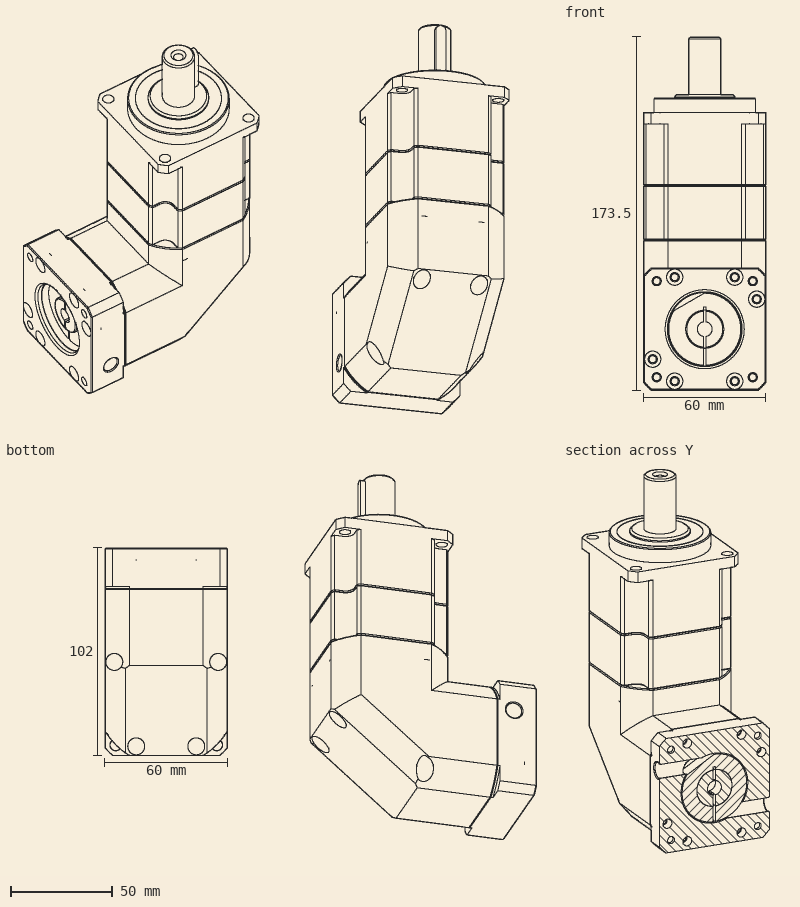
import cadquery as cq
import math


frame = 60.0
half = frame / 2
body_radius = 35.0
plate_radius = 39.9
joint_chamfer = 0.5

elbow_top = 43.7
stage_top = 70.6
flange_bottom = 100.8
flange_top = 106.4
boss_top = 113.6
shoulder_top = 115.2
shaft_tip = 143.5

elbow_end = -52.0
adapter_pad_end = -53.1
adapter_front = -72.0

boss_radius = 25.0
boss_chamfer = 0.5
cover_radius = 21.2
cover_recess = 0.2
flange_hole_offset = 24.8
flange_hole_diameter = 5.5

channel_inset = 20.0
channel_fillet = 4.5

slant_top = 7.0
slant_toe = -14.2
slant_axis_depth = 28.8
access_hole_diameter = 8.3
access_hole_top = 34.7
access_hole_places = [(-14.7, 25.5), (14.7, 25.5), (-25.5, -16.0), (25.5, -16.0)]

shaft_radius = 8.0
shaft_chamfer = 0.9
shoulder_radius = 15.0
shoulder_chamfer = 1.0
centre_hole_diameter = 4.7
centre_hole_depth = 13.9
centre_sink_diameter = 7.3
key_width = 5.0
key_height = 5.0
key_length = 25.2
key_bottom = 117.1
key_outer = 10.0

adapter_edge_chamfer = 0.5
pilot_radius = 18.4
pilot_depth = 3.1
pilot_chamfer = 1.0
pocket_radius = 18.0
pocket_depth = 16.3
tapped_hole_offset = 23.6
tapped_radius = 2.3
tap_drill_radius = 1.7
tapped_depth = 8.7
tap_drill_depth = 11.3
screw_circle_radius = 29.5
screw_angles = [30, 60, 120, 210, 240, 300]
screw_head_radius = 4.0
screw_head_depth = 6.0
side_hole_diameter = 8.0
side_hole_chamfer = 0.5
side_hole_y = -60.4
side_hole_z = 13.2

collar_radius = 17.7
collar_face = -65.0
collar_flat_distance = 15.5
collar_flat_angle = 120
collar_notch_reach = 11.0
slit_width = 1.0
sleeve_radius = 9.4
sleeve_chamfer = 0.5
sleeve_face = -67.3
sleeve_end = -53.8
sleeve_bore_diameter = 7.3

drill_tip_angle = 118


def plate(bottom, top, corner_radius):
    """Square plate along Z with its corners trimmed by a circle."""
    square = cq.Workplane("XY").workplane(offset=bottom).rect(frame, frame).extrude(top - bottom)
    disc = cq.Workplane("XY").workplane(offset=bottom).circle(corner_radius).extrude(top - bottom)
    return square.intersect(disc)


def cylinder_z(radius, bottom, top):
    return cq.Workplane("XY").workplane(offset=bottom).circle(radius).extrude(top - bottom)


def cylinder_y(radius, front, back, x=0, z=0):
    """Cylinder along the input axis, from its front face toward +Y."""
    return cq.Workplane("XZ", origin=(0, front, 0)).center(x, z).circle(radius).extrude(front - back)


def box_between(low, high):
    size = [b - a for a, b in zip(low, high)]
    return cq.Workplane("XY").box(*size, centered=False).translate(low)


def toward_input(shape):
    """Turn a shape built along +Z so that it runs along -Y."""
    return shape.rotate((0, 0, 0), (1, 0, 0), 90)


def drilled_hole(radius, depth):
    """Drill shape that starts at the origin and runs along -Z to a conical tip."""
    tip = radius / math.tan(math.radians(drill_tip_angle / 2))
    profile = [(0, 0), (radius, 0), (radius, -depth), (0, -depth - tip)]
    return cq.Workplane("XZ").polyline(profile).close().revolve(360, (0, 0), (0, 1))


def countersink(radius, width):
    """45-degree chamfer cutter for the mouth of a hole that runs along -Z from the origin."""
    profile = [(0, 0), (radius + width, 0), (radius, -width), (0, -width)]
    return cq.Workplane("XZ").polyline(profile).close().revolve(360, (0, 0), (0, 1))


def cut_corner_channels(body, bottom, top):
    reach = half - channel_inset + 1.7
    for side_x in (-1, 1):
        for side_y in (-1, 1):
            centre = channel_inset + reach / 2
            channel = (
                cq.Workplane("XY", origin=(side_x * centre, side_y * centre, bottom))
                .rect(reach, reach)
                .extrude(top - bottom)
                .edges("|Z")
                .edges(cq.selectors.NearestToPointSelector(
                    (side_x * channel_inset, side_y * channel_inset, (bottom + top) / 2)))
                .fillet(channel_fillet)
            )
            body = body.cut(channel)
    return body


def make_gear_stage():
    stage = cut_corner_channels(plate(elbow_top, stage_top, body_radius), elbow_top, stage_top)
    return stage.faces("<Z or >Z").edges().chamfer(joint_chamfer)


def make_output_housing():
    barrel = cut_corner_channels(plate(stage_top, flange_bottom, body_radius), stage_top, flange_bottom)
    barrel = barrel.faces("<Z").edges().chamfer(joint_chamfer)
    boss = cylinder_z(boss_radius, flange_top, boss_top).faces(">Z").edges().chamfer(boss_chamfer)
    housing = barrel.union(plate(flange_bottom, flange_top, plate_radius)).union(boss)

    housing = housing.cut(cylinder_z(cover_radius, boss_top - cover_recess, boss_top))
    housing = housing.cut(cylinder_z(shoulder_radius, flange_bottom, boss_top))
    flange_holes = (
        cq.Workplane("XY", origin=(0, 0, flange_bottom))
        .rect(2 * flange_hole_offset, 2 * flange_hole_offset, forConstruction=True)
        .vertices()
        .circle(flange_hole_diameter / 2)
        .extrude(flange_top - flange_bottom)
    )
    return housing.cut(flange_holes)


def elbow_leg(length):
    """One leg along +Z, mitred at 45 degrees on the plane where the two legs meet."""
    bar = plate(-half, length, body_radius)
    outline = [(-half, length), (-half, half), (half, -half), (half, length)]
    wedge = cq.Workplane("YZ").polyline(outline).close().extrude(half, both=True)
    return bar.intersect(wedge)


def slant_trim():
    """Long block whose outer face is the slanted face, with corners rounded like the legs'."""
    run = half - slant_toe
    rise = slant_top + half
    slope = math.hypot(run, rise)
    outward = (0, rise / slope, -run / slope)
    middle = (0, (half + slant_toe) / 2, (slant_top - half) / 2)
    origin = tuple(m - slant_axis_depth * n for m, n in zip(middle, outward))
    plane = cq.Plane(origin=origin, xDir=(1, 0, 0), normal=(0, run / slope, rise / slope))
    reach = 3 * frame
    rounded = cq.Workplane(plane).rect(frame, 2 * slant_axis_depth).extrude(reach, both=True)
    rounded = rounded.intersect(cq.Workplane(plane).circle(body_radius).extrude(reach, both=True))
    inner = cq.Workplane(plane).center(0, -reach / 2).rect(frame, reach).extrude(reach, both=True)
    return rounded.union(inner)


def make_elbow():
    upright = elbow_leg(elbow_top).faces(">Z").edges().chamfer(joint_chamfer)
    level = elbow_leg(-elbow_end).faces(">Z").edges().chamfer(joint_chamfer)
    level = toward_input(level.mirror("XZ"))
    elbow = upright.union(level).intersect(slant_trim())
    for x, y in access_hole_places:
        hole = cylinder_z(access_hole_diameter / 2, -half, access_hole_top).translate((x, y, 0))
        elbow = elbow.cut(hole)
    return elbow


def make_adapter():
    pad = plate(-elbow_end, -adapter_pad_end, body_radius)
    block = plate(-adapter_pad_end, -adapter_front, plate_radius)
    block = block.faces(">Z").edges().chamfer(adapter_edge_chamfer)
    front = -adapter_front
    adapter = pad.union(block).cut(cylinder_z(pocket_radius, front - pocket_depth, front))
    pilot = cylinder_z(pilot_radius, front - pilot_depth, front)
    adapter = adapter.cut(pilot.union(countersink(pilot_radius, pilot_chamfer).translate((0, 0, front))))

    tapped = drilled_hole(tap_drill_radius, tap_drill_depth).union(cylinder_z(tapped_radius, -tapped_depth, 0))
    for side_x in (-1, 1):
        for side_y in (-1, 1):
            place = (side_x * tapped_hole_offset, side_y * tapped_hole_offset, front)
            adapter = adapter.cut(tapped.translate(place))

    screw_hole = tapped.translate((0, 0, -screw_head_depth))
    screw_hole = screw_hole.union(cylinder_z(screw_head_radius, -screw_head_depth, 0))
    for angle in screw_angles:
        x = screw_circle_radius * math.cos(math.radians(angle))
        y = screw_circle_radius * math.sin(math.radians(angle))
        adapter = adapter.cut(screw_hole.translate((x, y, front)))

    adapter = toward_input(adapter)
    side_hole = cylinder_z(side_hole_diameter / 2, -half, 0)
    side_hole = side_hole.union(countersink(side_hole_diameter / 2, side_hole_chamfer))
    side_hole = side_hole.rotate((0, 0, 0), (0, 1, 0), -90).translate((-half, side_hole_y, side_hole_z))
    adapter = adapter.cut(side_hole).cut(side_hole.rotate((0, 0, 0), (0, 1, 0), 180))
    return adapter.cut(cylinder_y(sleeve_radius, sleeve_face, sleeve_end))


def make_collar():
    back = adapter_front + pocket_depth
    collar = cylinder_y(collar_radius, collar_face, back)
    flat_cutter = box_between(
        (collar_flat_distance, collar_face, -collar_radius), (2 * collar_radius, back, collar_radius))
    collar = collar.cut(flat_cutter.rotate((0, 0, 0), (0, 1, 0), -collar_flat_angle))
    slit = box_between(
        (-slit_width / 2, collar_face, -collar_radius), (slit_width / 2, back, collar_notch_reach))
    return collar.cut(slit).cut(cylinder_y(sleeve_radius, collar_face, back))


def make_sleeve():
    sleeve = cylinder_y(sleeve_radius, sleeve_face, sleeve_end).faces("<Y").edges().chamfer(sleeve_chamfer)
    slit_end = adapter_front + pocket_depth
    slit = box_between(
        (-slit_width / 2, sleeve_face, -sleeve_radius), (slit_width / 2, slit_end, sleeve_radius))
    return sleeve.cut(cylinder_y(sleeve_bore_diameter / 2, sleeve_face, slit_end)).cut(slit)


def make_key():
    return (
        cq.Workplane("XZ", origin=(0, key_outer, key_bottom + key_length / 2))
        .slot2D(key_length, key_width, 90)
        .extrude(key_height)
    )


def make_output_shaft(key):
    shoulder = cylinder_z(shoulder_radius, flange_bottom, shoulder_top)
    shoulder = shoulder.faces(">Z").edges().chamfer(shoulder_chamfer)
    journal = cylinder_z(shaft_radius, shoulder_top, shaft_tip).faces(">Z").edges().chamfer(shaft_chamfer)
    shaft = shoulder.union(journal).cut(key)

    shaft = shaft.cut(drilled_hole(centre_hole_diameter / 2, centre_hole_depth).translate((0, 0, shaft_tip)))
    sink_width = (centre_sink_diameter - centre_hole_diameter) / 2
    return shaft.cut(countersink(centre_hole_diameter / 2, sink_width).translate((0, 0, shaft_tip)))


output_housing = make_output_housing()
gear_stage = make_gear_stage()
elbow = make_elbow()
adapter = make_adapter()
collar = make_collar()
sleeve = make_sleeve()
key = make_key()
output_shaft = make_output_shaft(key)

result = cq.Compound.makeCompound([
    output_housing.val(),
    gear_stage.val(),
    elbow.val(),
    adapter.val(),
    collar.val(),
    sleeve.val(),
    key.val(),
    output_shaft.val(),
])